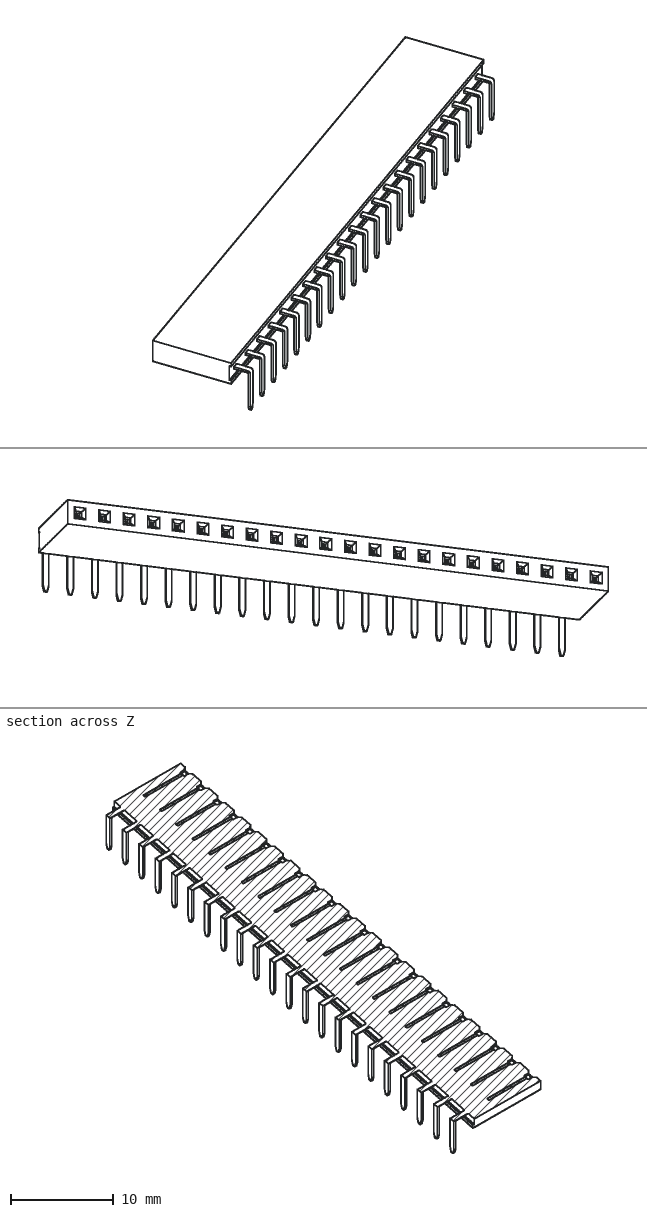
import cadquery as cq

overall_x = 10.1
overall_z = 5.85
length = 55.9
contact_count = 22

body_depth = 8.5
body_height = 2.5
rear_groove_depth = 0.15
rear_groove_lip = 0.42

funnel_depth = 0.3
shoulder_depth = 0.85
inner_bore_depth = 5.6

pin_thickness = 0.25
bend_inner_radius = 0.05
tip_length = 0.6
tip_width = 0.285
tip_inset = 0.155
pin_embed = 0.55

pitch = length / contact_count
mid_z = body_height / 2
bottom_z = body_height - overall_z
rear_face_x = body_depth - rear_groove_depth
pin_width = tip_width + 2 * tip_inset
socket_size = pin_width
mouth_size = socket_size + 2 * funnel_depth
inner_bore_size = pin_thickness
bend_outer_radius = bend_inner_radius + pin_thickness
contact_positions = [(i - (contact_count - 1) / 2) * pitch for i in range(contact_count)]


def make_body():
    """Long bar with a shallow groove running along its rear face."""
    bar = cq.Workplane("XY").box(body_depth, length, body_height, centered=(False, True, False))
    groove_height = body_height - 2 * rear_groove_lip
    groove = (
        cq.Workplane("XY", origin=(rear_face_x, 0, mid_z))
        .box(rear_groove_depth, length, groove_height, centered=(False, True, True))
    )
    return bar.cut(groove)


def square_bore(size, depth):
    """Square cutter reaching inward from the socket face."""
    return cq.Workplane("YZ", origin=(0, 0, mid_z)).rect(size, size).extrude(depth)


def make_socket():
    """Cutter for one blind socket: funnel mouth, wide bore and narrow inner bore."""
    funnel = (
        cq.Workplane("YZ", origin=(0, 0, mid_z))
        .rect(mouth_size, mouth_size)
        .workplane(offset=funnel_depth)
        .rect(socket_size, socket_size)
        .loft(ruled=True)
    )
    wide_bore = square_bore(socket_size, shoulder_depth)
    inner_bore = square_bore(inner_bore_size, inner_bore_depth)
    return funnel.union(wide_bore).union(inner_bore)


def make_pin():
    """Flat right-angle pin whose lower end narrows to a tip."""
    start_x = rear_face_x - pin_embed
    bend_x = overall_x - bend_outer_radius
    inner_x = overall_x - pin_thickness
    top_z = mid_z + pin_thickness / 2
    bend_z = top_z - bend_outer_radius
    under_z = top_z - pin_thickness
    strip = (
        cq.Workplane("XZ", origin=(0, pin_width / 2, 0))
        .moveTo(start_x, top_z)
        .lineTo(bend_x, top_z)
        .radiusArc((overall_x, bend_z), bend_outer_radius)
        .lineTo(overall_x, bottom_z)
        .lineTo(inner_x, bottom_z)
        .lineTo(inner_x, bend_z)
        .radiusArc((bend_x, under_z), -bend_inner_radius)
        .lineTo(start_x, under_z)
        .close()
        .extrude(pin_width)
    )
    tapered_outline = (
        cq.Workplane("YZ", origin=(start_x, 0, 0))
        .moveTo(-pin_width / 2, top_z)
        .lineTo(-pin_width / 2, bottom_z + tip_length)
        .lineTo(-tip_width / 2, bottom_z)
        .lineTo(tip_width / 2, bottom_z)
        .lineTo(pin_width / 2, bottom_z + tip_length)
        .lineTo(pin_width / 2, top_z)
        .close()
        .extrude(overall_x - start_x)
    )
    return strip.intersect(tapered_outline)


socket = make_socket()
pin = make_pin()
result = make_body()
for contact_y in contact_positions:
    result = result.cut(socket.translate((0, contact_y, 0)))
    result = result.union(pin.translate((0, contact_y, 0)))